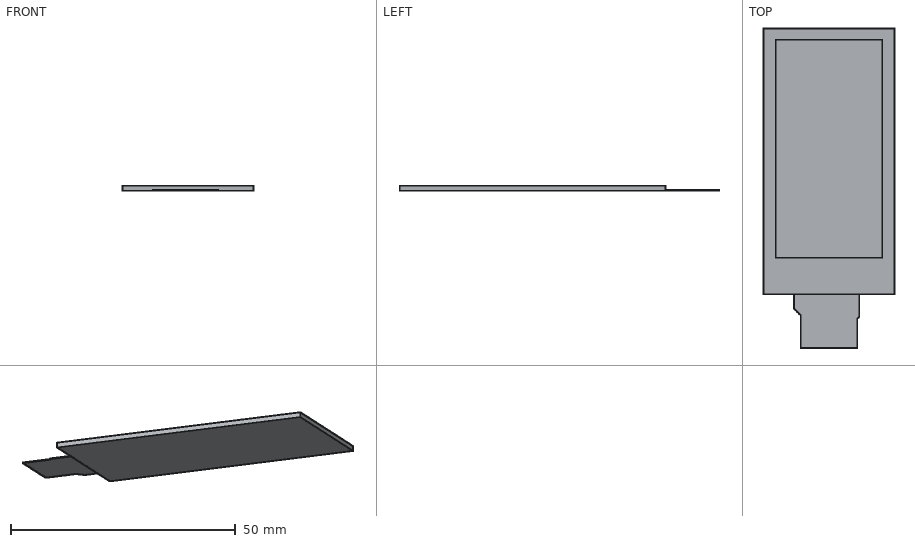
import cadquery as cq

overall_length = 71.2
panel_width = 29.2
panel_length = 59.25
panel_thickness = 1.15

screen_width = 23.8
screen_length = 48.5
screen_thickness = 0.2
screen_top_margin = 2.55

tail_thickness = 0.2
tail_end_width = 12.7
tail_left_step = 1.5
tail_right_step = 0.4
tail_left_straight = 3.1
tail_right_straight = 5.0

panel_front_y = -panel_length / 2
screen_center_y = panel_length / 2 - screen_top_margin - screen_length / 2
screen_bottom_z = panel_thickness - screen_thickness


def make_screen():
    """Thin rectangular display area."""
    return (
        cq.Workplane("XY", origin=(0, screen_center_y, screen_bottom_z))
        .rect(screen_width, screen_length)
        .extrude(screen_thickness)
    )


def make_panel():
    """Flat panel with a shallow recess that fits the screen."""
    plate = cq.Workplane("XY").rect(panel_width, panel_length).extrude(panel_thickness)
    return plate.cut(make_screen())


def make_tail():
    """Thin tail at the panel's front edge, narrowed by a 45 degree step on each side."""
    end_y = panel_front_y - (overall_length - panel_length)
    end_x = tail_end_width / 2
    left_x = -end_x - tail_left_step
    right_x = end_x + tail_right_step
    left_step_y = panel_front_y - tail_left_straight
    right_step_y = panel_front_y - tail_right_straight
    outline = [
        (left_x, panel_front_y),
        (left_x, left_step_y),
        (-end_x, left_step_y - tail_left_step),
        (-end_x, end_y),
        (end_x, end_y),
        (end_x, right_step_y - tail_right_step),
        (right_x, right_step_y),
        (right_x, panel_front_y),
    ]
    return cq.Workplane("XY").polyline(outline).close().extrude(tail_thickness)


panel = make_panel()
screen = make_screen()
tail = make_tail()

result = cq.Compound.makeCompound([panel.val(), screen.val(), tail.val()])